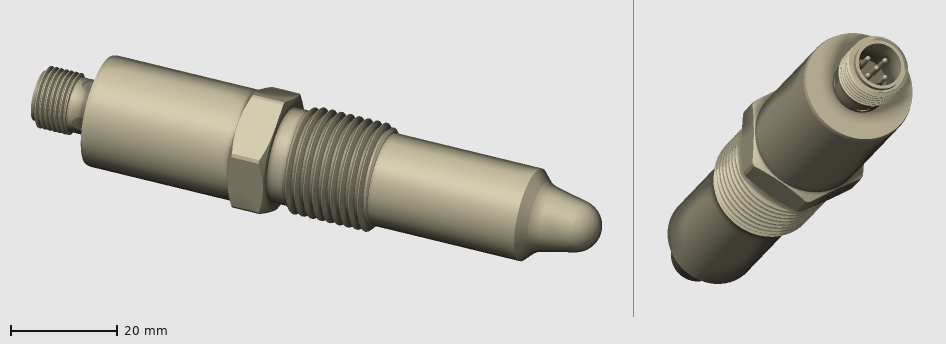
import cadquery as cq
import math


lip_dia = 9.7
plug_thread_dia = 12.0
plug_core_dia = 10.6
plug_pitch = 1.0
plug_thread_start = 0.95
plug_thread_end = 7.35
plug_thread_phase = 0.55
plug_root_width = 0.9
plug_crest_width = 0.15
neck_dia = 10.6
bore_dia = 8.4
bore_depth = 9.0

pin_dia = 1.0
pin_circle_dia = 4.8
pin_recess = 1.5

window_dia = 3.0
window_floor_dia = 10.1
window_x = 10.1
window_count = 4

body_dia = 21.6
body_start = 12.3
rim_length = 0.8
rim_angle = 13.0
hex_start = 41.9
hex_end = 49.3
hex_sides = 6
hex_flats = 22.0
hex_corner_dia = 25.0
hex_chamfer_angle = 30.0
hex_probe_chamfer_dia = 21.9

collar_dia = 18.5
main_thread_dia = 20.955
main_pitch = 1.814
main_thread_start = 52.4
main_thread_end = 69.6
main_thread_phase = 54.1
main_root_width = 1.5
main_crest_width = 0.1

probe_dia = 18.0
probe_end = 99.2
shoulder_end = 101.1
cone_start = 102.9
tip_radius = 5.05
cone_angle = 12.0
total_length = 113.2

root_overlap = 0.1
envelope_clearance = 0.5


def cylinder(start, end, dia):
    return cq.Workplane("YZ").workplane(offset=start).circle(dia / 2).extrude(end - start)


def revolve_about_x(outline):
    return outline.close().revolve(360, (0, 0, 0), (1, 0, 0))


def make_tip():
    """Probe end: 45 degree shoulder, hollow blend, cone and spherical nose.

    The cone is tangent to both the nose and the blend.
    """
    slope = math.radians(cone_angle)
    nose_center_x = total_length - tip_radius

    def nose_point(angle):
        return (nose_center_x + tip_radius * math.sin(angle), tip_radius * math.cos(angle))

    cone_end_x, cone_end_radius = nose_point(slope)
    cone_start_radius = cone_end_radius + (cone_end_x - cone_start) * math.tan(slope)
    shoulder_radius = probe_dia / 2 - (shoulder_end - probe_end)
    outline = (
        cq.Workplane("XY")
        .moveTo(total_length, 0)
        .threePointArc(nose_point((slope + math.pi / 2) / 2), (cone_end_x, cone_end_radius))
        .lineTo(cone_start, cone_start_radius)
        .tangentArcPoint((shoulder_end, shoulder_radius), relative=False)
        .lineTo(probe_end, probe_dia / 2)
        .lineTo(probe_end, 0)
    )
    return revolve_about_x(outline)


def make_thread_ridge(start, end, core_dia, crest_dia, pitch, phase, root_width, crest_width, tapered):
    """Right-handed helical ridge round the X axis, its ends cut square or at 45 degrees."""
    buried = core_dia / 2 - root_overlap
    crest = crest_dia / 2
    first = phase + pitch * (math.floor((start - phase) / pitch) - 1)
    turns = math.ceil((end - first) / pitch) + 1
    path = cq.Wire.makeHelix(pitch, turns * pitch, buried)
    ridge = (
        cq.Workplane("XZ")
        .moveTo(buried, -root_width / 2)
        .lineTo(crest, -crest_width / 2)
        .lineTo(crest, crest_width / 2)
        .lineTo(buried, root_width / 2)
        .close()
        .sweep(cq.Workplane(obj=path), isFrenet=True)
        .rotate((0, 0, 0), (0, 1, 0), 90)
        .translate((first, 0, 0))
    )
    envelope = cylinder(start, end, crest_dia + 2 * envelope_clearance)
    if tapered:
        envelope = envelope.edges().chamfer(crest + envelope_clearance - core_dia / 2)
    return ridge.intersect(envelope)


def make_hexagon():
    """Hexagon with corners on +Z and -Z, turned down at the corners and chamfered at both ends.

    The chamfer at the probe end skips the +Z corner.
    """
    corner_sector = 360 / hex_sides
    half_sector = corner_sector / 2
    blank = (
        cq.Workplane("YZ")
        .workplane(offset=hex_start)
        .polygon(hex_sides, hex_flats / math.cos(math.radians(half_sector)))
        .extrude(hex_end - hex_start)
        .rotate((0, 0, 0), (1, 0, 0), half_sector)
    )
    slope = math.tan(math.radians(hex_chamfer_angle))
    corner = hex_corner_dia / 2
    plug_side = body_dia / 2
    probe_side = hex_probe_chamfer_dia / 2
    envelope = revolve_about_x(
        cq.Workplane("XY")
        .moveTo(hex_start, 0)
        .lineTo(hex_start, plug_side)
        .lineTo(hex_start + (corner - plug_side) * slope, corner)
        .lineTo(hex_end, corner)
        .lineTo(hex_end, 0)
    )
    beyond_corner = corner + envelope_clearance
    chamfer_ring = (
        cq.Workplane("XY")
        .moveTo(hex_end, probe_side)
        .lineTo(hex_end - (beyond_corner - probe_side) * slope, beyond_corner)
        .lineTo(hex_end, beyond_corner)
        .close()
        .revolve(360 - corner_sector, (0, 0, 0), (1, 0, 0))
        .rotate((0, 0, 0), (1, 0, 0), 90 + half_sector)
    )
    return blank.intersect(envelope).cut(chamfer_ring)


def make_body():
    """Housing barrel with a narrow tapered rim at the plug end."""
    rim_radius = body_dia / 2 - rim_length * math.tan(math.radians(rim_angle))
    return revolve_about_x(
        cq.Workplane("XY")
        .moveTo(body_start, 0)
        .lineTo(body_start, rim_radius)
        .lineTo(body_start + rim_length, body_dia / 2)
        .lineTo(hex_start, body_dia / 2)
        .lineTo(hex_start, 0)
    )


def cut_windows(part):
    """Shallow flat-bottomed round recesses evenly spaced round the neck."""
    for index in range(window_count):
        cutter = (
            cq.Workplane("XY")
            .workplane(offset=window_floor_dia / 2)
            .center(window_x, 0)
            .circle(window_dia / 2)
            .extrude(neck_dia / 2)
            .rotate((0, 0, 0), (1, 0, 0), index * 360 / window_count)
        )
        part = part.cut(cutter)
    return part


def make_pins():
    """One central contact pin and four on a circle, dome-tipped and standing on the bore floor."""
    offset = pin_circle_dia / 2 * math.sin(math.radians(45))
    places = [(0, 0), (offset, offset), (-offset, offset), (-offset, -offset), (offset, -offset)]
    radius = pin_dia / 2
    shanks = (
        cq.Workplane("YZ")
        .workplane(offset=pin_recess + radius)
        .pushPoints(places)
        .circle(radius)
        .extrude(bore_depth + root_overlap - pin_recess - radius)
    )
    domes = cq.Workplane("YZ").workplane(offset=pin_recess + radius).pushPoints(places).sphere(radius)
    return shanks.union(domes)


plug_ridge = make_thread_ridge(
    plug_thread_start, plug_thread_end, plug_core_dia, plug_thread_dia, plug_pitch,
    plug_thread_phase, plug_root_width, plug_crest_width, tapered=False,
)
main_ridge = make_thread_ridge(
    main_thread_start, main_thread_end, collar_dia, main_thread_dia, main_pitch,
    main_thread_phase, main_root_width, main_crest_width, tapered=True,
)

result = cylinder(0, plug_thread_start, lip_dia)
result = result.union(cylinder(plug_thread_start, plug_thread_end, plug_core_dia))
result = result.union(cylinder(plug_thread_end, body_start, neck_dia))
result = result.union(make_body())
result = result.union(make_hexagon())
result = result.union(cylinder(hex_end, main_thread_end, collar_dia))
result = result.union(cylinder(main_thread_end, probe_end, probe_dia))
result = result.union(make_tip())
result = cut_windows(result)
result = result.cut(cylinder(0, bore_depth, bore_dia))
result = result.union(make_pins())
result = result.union(plug_ridge)
result = result.union(main_ridge)